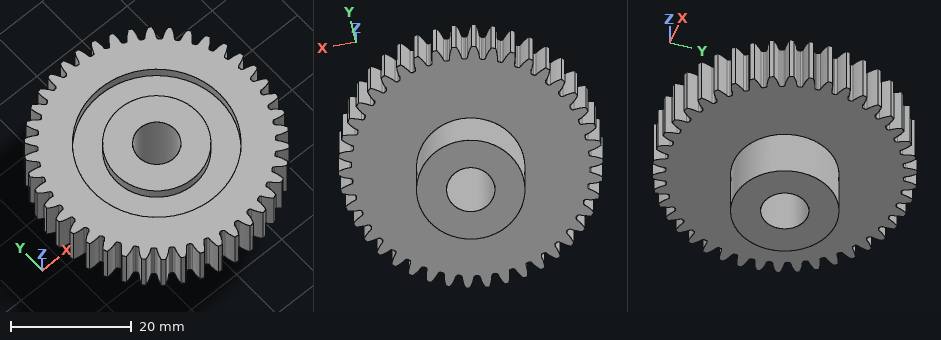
import cadquery as cq
import math

outer_diameter = 44.0
tooth_count = 42
pressure_angle = math.radians(20)
dedendum_in_modules = 1.25
root_fillet_in_modules = 0.38

module = outer_diameter / (tooth_count + 2)
outer_radius = outer_diameter / 2
pitch_radius = module * tooth_count / 2
base_radius = pitch_radius * math.cos(pressure_angle)
root_radius = pitch_radius - dedendum_in_modules * module
root_fillet = root_fillet_in_modules * module

total_height = 18.0
face_width = total_height / 2
hub_diameter = 18.0
bore_diameter = 8.0

recess_diameter = 28.0
recess_depth = 2.2


def polar(radius, angle):
    return (radius * math.cos(angle), radius * math.sin(angle))


def involute_angle(radius):
    """Angle swept by the involute between the base circle and the given radius."""
    roll = math.acos(base_radius / radius)
    return math.tan(roll) - roll


def half_tooth_angle(radius):
    """Half the angle a tooth covers at the given radius."""
    half_angle_at_pitch = math.pi / (2 * tooth_count)
    return half_angle_at_pitch + involute_angle(pitch_radius) - involute_angle(radius)


def gear_outline():
    """Closed tooth outline, with one tooth centred on the +X axis."""
    flank_middle = (root_radius + outer_radius) / 2
    root_half = half_tooth_angle(root_radius)
    middle_half = half_tooth_angle(flank_middle)
    tip_half = half_tooth_angle(outer_radius)
    tooth_pitch = 2 * math.pi / tooth_count

    outline = cq.Workplane("XY").moveTo(*polar(root_radius, -root_half))
    for tooth in range(tooth_count):
        centre = tooth * tooth_pitch
        next_centre = centre + tooth_pitch
        outline = (
            outline
            .threePointArc(polar(flank_middle, centre - middle_half), polar(outer_radius, centre - tip_half))
            .threePointArc(polar(outer_radius, centre), polar(outer_radius, centre + tip_half))
            .threePointArc(polar(flank_middle, centre + middle_half), polar(root_radius, centre + root_half))
            .threePointArc(
                polar(root_radius, centre + tooth_pitch / 2),
                polar(root_radius, next_centre - root_half),
            )
        )
    return outline.close()


def toothed_wheel():
    """Wheel from Z = 0 up, with the bottom corners of the tooth gaps rounded."""
    wheel = gear_outline().extrude(face_width)
    root_limit = (root_radius + pitch_radius) / 2
    root_edges = wheel.edges("|Z").filter(
        lambda edge: math.hypot(edge.Center().x, edge.Center().y) < root_limit
    )
    return root_edges.fillet(root_fillet)


def full_height_cylinder(diameter):
    """Cylinder on the Z axis, flush with the wheel's top and reaching down to the hub's end."""
    return cq.Workplane("XY").workplane(offset=face_width).circle(diameter / 2).extrude(-total_height)


def ring_recess():
    """Ring between the hub and the recess wall, sunk from the wheel's top face."""
    return (
        cq.Workplane("XY")
        .workplane(offset=face_width)
        .circle(recess_diameter / 2)
        .circle(hub_diameter / 2)
        .extrude(-recess_depth)
    )


hub = full_height_cylinder(hub_diameter)
bore = full_height_cylinder(bore_diameter)
result = toothed_wheel().union(hub).cut(ring_recess()).cut(bore)